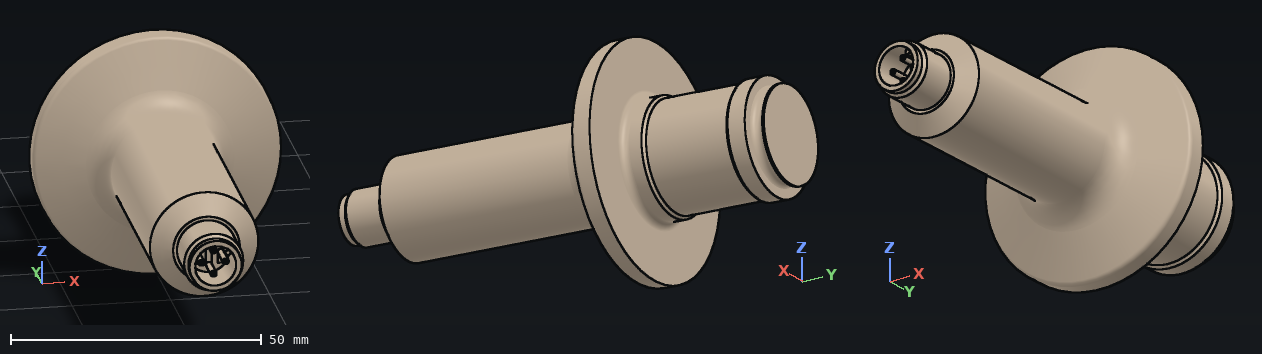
import cadquery as cq
import math

TOTAL_LENGTH = 102.4

TIP_DIAMETER = 10.5
TIP_LENGTH = 1.5
NECK_DIAMETER = 12.0
NECK_END = 10.4
NECK_CHAMFER = (NECK_DIAMETER - TIP_DIAMETER) / 2

NOSE_DIAMETER = 13.5
BODY_DIAMETER = 22.0
BODY_START = 13.1

FLANGE_DIAMETER = 50.5
FLANGE_BACK = 70.7
FLANGE_RIM_WIDTH = 4.2
FLANGE_SLOPE = math.radians(20)
FLANGE_EDGE_RADIUS = 1.1
BODY_FILLET_RADIUS = 6.1

COLLAR_DIAMETER = 25.3
COLLAR_END = 75.2
COLLAR_FILLET_RADIUS = 1.6
BARREL_DIAMETER = 24.0
COLLAR_CHAMFER = (COLLAR_DIAMETER - BARREL_DIAMETER) / 2
REAR_COLLAR_START = 95.2
REAR_COLLAR_END = 99.2

LIP_DIAMETER = 21.0
LIP_WIDTH = 0.4
GROOVE_DIAMETER = 18.7

SOCKET_DIAMETER = 8.3
SOCKET_DEPTH = 8.2
PIN_DIAMETER = 1.2
PIN_CIRCLE_RADIUS = 2.5
PIN_RECESS = 2.0
PIN_TIP_CHAMFER = 0.3
BAR_HEIGHT = 0.5
SIDE_BAR_LENGTH = 2.2
KEY_DIAMETER = 1.0
KEY_CENTER_RADIUS = 3.6
KEY_ANGLE = math.radians(45)
KEY_RECESS = 0.3


def turned_body():
    tip_radius = TIP_DIAMETER / 2
    neck_radius = NECK_DIAMETER / 2
    body_radius = BODY_DIAMETER / 2
    flange_radius = FLANGE_DIAMETER / 2
    collar_radius = COLLAR_DIAMETER / 2
    barrel_radius = BARREL_DIAMETER / 2
    lip_radius = LIP_DIAMETER / 2

    rim_front = FLANGE_BACK - FLANGE_RIM_WIDTH
    slope_root = rim_front - (flange_radius - body_radius) * math.tan(FLANGE_SLOPE)

    turn = math.pi / 2 - FLANGE_SLOPE
    lip_front = TOTAL_LENGTH - LIP_WIDTH
    groove_middle = (REAR_COLLAR_END + lip_front) / 2

    def slope_blend(corner_radius, corner_station, blend_radius, side):
        """Start, middle and end of the arc that rounds a corner of the sloped face.

        side is +1 for the hollow blend at the body and -1 for the rounded rim.
        """
        tangent_length = blend_radius * math.tan(turn / 2)
        center_radius = corner_radius + side * blend_radius
        center_station = corner_station - side * tangent_length

        def on_arc(angle):
            return (
                center_radius - side * blend_radius * math.cos(angle),
                center_station + side * blend_radius * math.sin(angle),
            )

        return on_arc(0), on_arc(turn / 2), on_arc(turn)

    body_blend = slope_blend(body_radius, slope_root, BODY_FILLET_RADIUS, 1)
    rim_blend = slope_blend(flange_radius, rim_front, FLANGE_EDGE_RADIUS, -1)
    rim_start, rim_middle, rim_end = reversed(rim_blend)

    fillet_bend = COLLAR_FILLET_RADIUS * (1 - math.sqrt(0.5))
    profile = (
        cq.Workplane("XY")
        .moveTo(0, 0)
        .lineTo(tip_radius, 0)
        .lineTo(tip_radius, TIP_LENGTH)
        .lineTo(neck_radius, TIP_LENGTH + NECK_CHAMFER)
        .lineTo(neck_radius, NECK_END)
        .lineTo(NOSE_DIAMETER / 2, NECK_END)
        .lineTo(body_radius, BODY_START)
        .lineTo(*body_blend[0])
        .threePointArc(body_blend[1], body_blend[2])
        .lineTo(*rim_start)
        .threePointArc(rim_middle, rim_end)
        .lineTo(flange_radius, FLANGE_BACK)
        .lineTo(collar_radius + COLLAR_FILLET_RADIUS, FLANGE_BACK)
        .threePointArc(
            (collar_radius + fillet_bend, FLANGE_BACK + fillet_bend),
            (collar_radius, FLANGE_BACK + COLLAR_FILLET_RADIUS),
        )
        .lineTo(collar_radius, COLLAR_END)
        .lineTo(barrel_radius, COLLAR_END + COLLAR_CHAMFER)
        .lineTo(barrel_radius, REAR_COLLAR_START - COLLAR_CHAMFER)
        .lineTo(collar_radius, REAR_COLLAR_START)
        .lineTo(collar_radius, REAR_COLLAR_END)
        .lineTo(lip_radius, REAR_COLLAR_END)
        .threePointArc((GROOVE_DIAMETER / 2, groove_middle), (lip_radius, lip_front))
        .lineTo(lip_radius, TOTAL_LENGTH)
        .lineTo(0, TOTAL_LENGTH)
        .close()
    )
    return profile.revolve(360, (0, 0, 0), (0, 1, 0))


def rod(diameter, start, end, x=0, z=0):
    """Round rod along Y between two stations."""
    axis = cq.Vector(0, 1, 0)
    return cq.Workplane(cq.Solid.makeCylinder(diameter / 2, end - start, cq.Vector(x, start, z), axis))


def pins():
    """Four pins spaced evenly around the axis."""
    places = [
        (-PIN_CIRCLE_RADIUS, 0),
        (PIN_CIRCLE_RADIUS, 0),
        (0, -PIN_CIRCLE_RADIUS),
        (0, PIN_CIRCLE_RADIUS),
    ]
    group = cq.Workplane()
    for x, z in places:
        pin = rod(PIN_DIAMETER, PIN_RECESS, SOCKET_DEPTH, x, z)
        group = group.add(pin.faces("<Y").chamfer(PIN_TIP_CHAMFER))
    return group.combine()


def floor_bar(x, top, length):
    """Low bar as wide as a pin on the socket floor, running down (-Z) from its top."""
    bar = cq.Workplane("XY").box(PIN_DIAMETER, BAR_HEIGHT, length, centered=(True, False, False))
    return bar.translate((x, SOCKET_DEPTH - BAR_HEIGHT, top - length))


def floor_bars():
    """One bar joins the upper and lower pins; a shorter one hangs from each side pin."""
    bars = floor_bar(0, PIN_CIRCLE_RADIUS, 2 * PIN_CIRCLE_RADIUS)
    for x in (-PIN_CIRCLE_RADIUS, PIN_CIRCLE_RADIUS):
        bars = bars.add(floor_bar(x, 0, SIDE_BAR_LENGTH))
    return bars.combine()


def key():
    """Rib along the socket wall: rounded inside, running straight out into the wall."""
    reach = (SOCKET_DIAMETER + TIP_DIAMETER) / 4 - KEY_CENTER_RADIUS
    length = SOCKET_DEPTH - KEY_RECESS
    nose = rod(KEY_DIAMETER, KEY_RECESS, SOCKET_DEPTH, KEY_CENTER_RADIUS)
    web = cq.Workplane("XY").box(reach, length, KEY_DIAMETER, centered=(False, False, True))
    web = web.translate((KEY_CENTER_RADIUS, KEY_RECESS, 0))
    return nose.union(web).rotate((0, 0, 0), (0, 1, 0), -math.degrees(KEY_ANGLE))


socket = rod(SOCKET_DIAMETER, 0, SOCKET_DEPTH)
result = turned_body().cut(socket).union(floor_bars()).union(pins()).union(key())